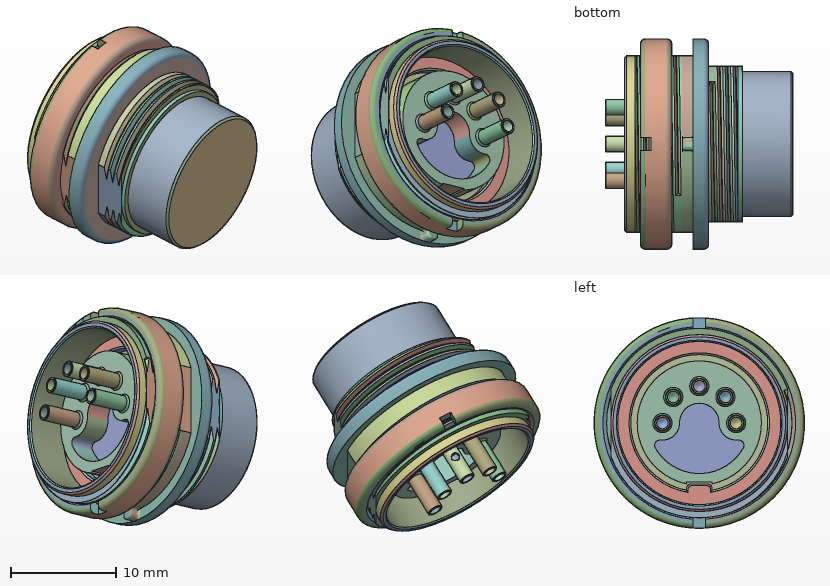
import cadquery as cq
import math

selection_margin = 0.1

lip_front = 1.8
thread_front = 2.8
nut_front = 3.3
nut_rear = 6.3
flange_front = 8.3
flange_rear = 9.8
rear_thread_end = 12.6
collar_end = 13.0
overall_length = 17.8

lip_diameter = 16.8
front_thread_diameter = 18.0
flange_diameter = 20.0
rear_thread_diameter = 16.0
collar_diameter = 14.8
plug_diameter = 13.8
rim_round = 0.5
lip_chamfer = 0.2
plug_chamfer = 0.2

pitch = 0.75
thread_depth = 0.4
groove_root_width = 0.06
thread_half_angle = 30.0
groove_overshoot = 0.1
blank_allowance = 3 * pitch
front_groove_start = 2.87
front_groove_start_angle = 159.0
front_groove_turns = 5.4
rear_groove_start = 10.15
rear_groove_start_angle = 222.0
rear_groove_turns = 4

nut_bore = front_thread_diameter - thread_depth
nut_lead_in_diameter = 18.3
slot_width = 1.2
slot_depth = 1.0

tab_length = 1.0
tab_front = flange_front - tab_length
tab_width = 1.2
tab_bottom_clearance = 0.02
tab_bottom = tab_bottom_clearance - flange_diameter / 2
tab_bottom_round = 0.45
tab_front_round = 0.2
tab_root_round = 0.2

cavity_diameter = 15.5
cavity_mouth_chamfer = 0.13
cavity_floor = 5.8
recess_diameter = 13.0
recess_chamfer = 0.17
recess_depth = 1.0

key_width = 2.46
key_top = 5.78
key_round = 0.5

insert_face = 4.0
insert_diameter = 11.8
notch_width = 2.46
notch_top = 5.6

pin_diameter = 1.5
pin_circle_radius = 3.5
pin_spacing = 45.0
pin_count = 5
pin_tip_chamfer = 0.05
pin_collar_diameter = 1.82
pin_collar_length = 0.2
cup_diameter = 1.1
cup_depth = 3.0
cup_cone_angle = 59.0
vent_diameter = 0.8
vent_position = 2.3

pocket_outer_radius = 4.8
pocket_pin_clearance = 1.62
pocket_round = 0.5
pocket_depth = 2.5


def cylinder(start, end, diameter):
    """Cylinder on the X axis between two stations."""
    return cq.Workplane("YZ", origin=(start, 0, 0)).circle(diameter / 2).extrude(end - start)


def block(start, end, width, bottom, top):
    """Box from start to end in X, centred in Y, from bottom to top in Z."""
    box = cq.Workplane("XY").box(end - start, width, top - bottom, centered=(False, True, False))
    return box.translate((start, 0, bottom))


def thread_groove(start, start_angle, turns, crest_diameter):
    """Right-handed V groove along X; the angle is counted from +Y towards +Z."""
    crest_radius = crest_diameter / 2
    root_radius = crest_radius - thread_depth
    outer_radius = crest_radius + groove_overshoot
    root_half = groove_root_width / 2
    outer_half = root_half + (outer_radius - root_radius) * math.tan(math.radians(thread_half_angle))
    path = cq.Workplane(cq.Wire.makeHelix(pitch, turns * pitch, root_radius))
    groove = (
        cq.Workplane("XZ")
        .moveTo(root_radius, -root_half)
        .lineTo(outer_radius, -outer_half)
        .lineTo(outer_radius, outer_half)
        .lineTo(root_radius, root_half)
        .close()
        .sweep(path, isFrenet=True)
    )
    groove = groove.rotate((0, 0, 0), (1, 1, 1), 360 / 3)
    return groove.rotate((0, 0, 0), (1, 0, 0), start_angle).translate((start, 0, 0))


def with_flats(barrel, flats):
    """Barrel with two flats facing +Y and -Y."""
    return barrel.intersect(block(lip_front, overall_length, flats, -flange_diameter, flange_diameter))


def threaded_barrel(start, end, diameter, flats, groove):
    """Threaded cylinder between two stations, with two flats."""
    blank = cylinder(start - blank_allowance, end + blank_allowance, diameter)
    return with_flats(blank.cut(groove).intersect(cylinder(start, end, flange_diameter)), flats)


def make_front_barrel():
    groove = thread_groove(
        front_groove_start, front_groove_start_angle, front_groove_turns, front_thread_diameter
    )
    return threaded_barrel(thread_front, tab_front, front_thread_diameter, lip_diameter, groove)


def make_rear_barrel():
    groove = thread_groove(rear_groove_start, rear_groove_start_angle, rear_groove_turns, rear_thread_diameter)
    return threaded_barrel(flange_rear, rear_thread_end, rear_thread_diameter, collar_diameter, groove)


def make_tab():
    """Locating tab under the plain end of the front barrel, touching the flange."""
    tab = block(tab_front, flange_front, tab_width, tab_bottom, -lip_diameter / 2)
    tab = tab.edges("|X and <Z").fillet(tab_bottom_round)
    return tab.faces("<X").edges("not >Z").fillet(tab_front_round)


def make_flange():
    """Flange with the plain end of the front barrel and the locating tab."""
    disc = cylinder(flange_front, flange_rear, flange_diameter).faces(">X").edges().fillet(rim_round)
    barrel_end = with_flats(cylinder(tab_front, flange_front, front_thread_diameter), lip_diameter)
    flange = disc.union(barrel_end).union(make_tab())
    reach = (tab_width + tab_root_round) / 2
    tab_corners = cq.selectors.BoxSelector(
        (tab_front + tab_front_round / 2, -reach, tab_bottom + tab_bottom_round + selection_margin),
        (flange_front + selection_margin, reach, -lip_diameter / 2),
    )
    return flange.edges(tab_corners).edges("|X or |Z").fillet(tab_root_round)


def make_shell():
    lip = cylinder(lip_front, thread_front, lip_diameter).faces("<X").chamfer(lip_chamfer)
    collar = cylinder(rear_thread_end, collar_end, collar_diameter)
    plug = cylinder(collar_end, overall_length, plug_diameter).faces(">X").chamfer(plug_chamfer)
    shell = lip.union(make_front_barrel()).union(make_flange())
    shell = shell.union(make_rear_barrel()).union(collar).union(plug)
    cavity = cylinder(lip_front, cavity_floor, cavity_diameter)
    mouth_radius = cavity_diameter / 2 + cavity_mouth_chamfer
    mouth = cq.Workplane(
        cq.Solid.makeCone(
            mouth_radius, cavity_diameter / 2, cavity_mouth_chamfer, cq.Vector(lip_front, 0, 0), cq.Vector(1, 0, 0)
        )
    )
    return shell.cut(cavity).cut(mouth)


def cut_recess(shell):
    """Sink the recess into the cavity floor, leaving the key standing, and break its edges."""
    recess_end = cavity_floor + recess_depth
    key = block(cavity_floor, recess_end, key_width, -recess_diameter, -key_top)
    key = key.edges("|X and >Z").fillet(key_round)
    shell = shell.cut(cylinder(cavity_floor, recess_end, recess_diameter).cut(key))
    reach = (recess_diameter + cavity_diameter) / 4
    rim = cq.selectors.BoxSelector(
        (cavity_floor - recess_chamfer, -reach, -reach), (cavity_floor + recess_chamfer, reach, reach), True
    )
    return shell.edges(rim).chamfer(recess_chamfer)


def make_pocket():
    """Mushroom-shaped pocket, concave around the two outermost pins."""
    head_radius = pin_circle_radius - pocket_pin_clearance
    shoulder = -pocket_pin_clearance
    corner = math.sqrt(pocket_outer_radius**2 - shoulder**2)
    bend = pocket_pin_clearance * math.sqrt(0.5)
    outline = (
        cq.Workplane("YZ", origin=(insert_face, 0, 0))
        .moveTo(-head_radius, 0)
        .threePointArc((0, head_radius), (head_radius, 0))
        .threePointArc((pin_circle_radius - bend, -bend), (pin_circle_radius, shoulder))
        .lineTo(corner, shoulder)
        .threePointArc((0, -pocket_outer_radius), (-corner, shoulder))
        .lineTo(-pin_circle_radius, shoulder)
        .threePointArc((bend - pin_circle_radius, -bend), (-head_radius, 0))
        .close()
    )
    pocket = outline.extrude(pocket_depth)
    for side in (corner, -corner):
        corner_edge = cq.selectors.BoxSelector(
            (insert_face, side - selection_margin, shoulder - selection_margin),
            (insert_face + pocket_depth, side + selection_margin, shoulder + selection_margin),
        )
        pocket = pocket.edges("|X").edges(corner_edge).fillet(pocket_round)
    return pocket


def make_insert():
    insert_end = cavity_floor + recess_depth
    insert = cylinder(insert_face, insert_end, insert_diameter)
    return insert.cut(block(insert_face, insert_end, notch_width, -insert_diameter, -notch_top))


def make_pin(has_vent):
    """Solder-cup pin on the X axis, with a flared foot on the insert face."""
    pin = cylinder(0, insert_face, pin_diameter).faces("<X").chamfer(pin_tip_chamfer)
    foot = cq.Workplane(
        cq.Solid.makeCone(
            pin_diameter / 2,
            pin_collar_diameter / 2,
            pin_collar_length,
            cq.Vector(insert_face - pin_collar_length, 0, 0),
            cq.Vector(1, 0, 0),
        )
    )
    cup_radius = cup_diameter / 2
    cone_depth = cup_radius / math.tan(math.radians(cup_cone_angle))
    cup = (
        cq.Workplane("XY")
        .polyline([(0, 0), (0, cup_radius), (cup_depth, cup_radius), (cup_depth + cone_depth, 0)])
        .close()
        .revolve(360, (0, 0, 0), (1, 0, 0))
    )
    pin = pin.union(foot).cut(cup)
    if has_vent:
        vent = cq.Workplane("XY").center(vent_position, 0).circle(vent_diameter / 2).extrude(pin_diameter)
        pin = pin.cut(vent)
    return pin


def make_nut():
    nut = cylinder(nut_front, nut_rear, flange_diameter).edges().fillet(rim_round)
    nut = nut.cut(cylinder(nut_front, nut_rear, nut_bore))
    lead_in = (nut_lead_in_diameter - nut_bore) / 2
    nut = nut.faces("<X").edges("%CIRCLE").edges(cq.selectors.RadiusNthSelector(0)).chamfer(lead_in)
    return nut.cut(block(nut_front, nut_front + slot_depth, slot_width, -flange_diameter, flange_diameter))


result = cut_recess(make_shell()).union(make_insert()).union(make_nut()).cut(make_pocket())
for index in range(pin_count):
    angle = math.radians(index * pin_spacing)
    is_top_pin = index == pin_count // 2
    place = (0, pin_circle_radius * math.cos(angle), pin_circle_radius * math.sin(angle))
    result = result.union(make_pin(is_top_pin).translate(place))